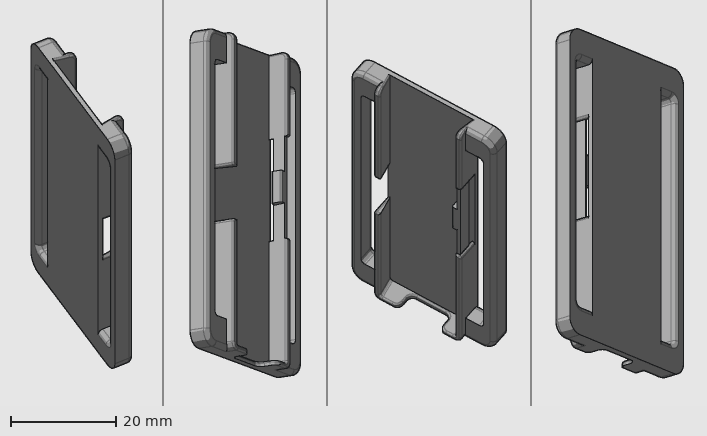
import cadquery as cq

LENGTH = 62.15
WIDTH = 33.4
PLATE_THICKNESS = 4.05
PLATE_CORNER = 3.0
BACK_EDGE_ROUND = 1.0

SLOT_OUTER_X = 14.2
SLOT_HALF_LENGTH = 25.1
SLOT_CORNER = 1.0
SLOT_FRONT_ROUND = 1.0

HOLDER_HALF_WIDTH = 10.05
HOLDER_HEIGHT = 5.65
HOLDER_CORNER = 1.5
FLOOR = 1.0
END_WALL = 1.0
POCKET_FLOOR_HALF = 9.5
POCKET_TOP_HALF = 8.65
POCKET_CORNER = 0.55
RIM_ROUND = 0.4

NOTCH_CENTER_X = -0.4
NOTCH_WIDTH = 9.45
NOTCH_BOTTOM = 1.55
NOTCH_LOWER_ROUND = 1.35
NOTCH_UPPER_ROUND = 1.5

OPENING_LOW_Z = -5.5
LEFT_OPENING_HIGH_Z = 14.5
RIGHT_OPENING_HIGH_Z = 4.9
OPENING_ROUND = 0.55

STRIP_OUTER_X = -9.6
STRIP_BOTTOM = 2.2
STRIP_TOP = 5.1
CATCH_X = -7.6
CATCH_LOW_EDGE = 2.9
CATCH_ROUND = 0.4
CATCH_LENGTH = 6.2

END_Z = LENGTH / 2
CUT_MARGIN = 0.6


def block(x_low, x_high, y_low, y_high, z_low, z_high):
    size = (x_high - x_low, y_high - y_low, z_high - z_low)
    return cq.Workplane("XY").box(*size, centered=False).translate((x_low, y_low, z_low))


def profile_along_z(points, z_low, z_high):
    """Extrude an outline of (x, y) points from z_low to z_high."""
    return cq.Workplane("XY", origin=(0, 0, z_low)).polyline(points).close().extrude(z_high - z_low)


def make_plate():
    plate = block(-WIDTH / 2, WIDTH / 2, 0, PLATE_THICKNESS, -END_Z, END_Z)
    return plate.edges("|Y").fillet(PLATE_CORNER).faces(">Y").edges().fillet(BACK_EDGE_ROUND)


def make_opening(side, high_z):
    """Cutter through one rail down to the floor, flaring out to the rail's outer face."""
    outer = side * HOLDER_HALF_WIDTH
    inner = side * POCKET_TOP_HALF / 2
    rounded = outer - side * OPENING_ROUND
    radius = side * OPENING_ROUND
    return (
        cq.Workplane("XZ", origin=(0, FLOOR, 0))
        .moveTo(inner, OPENING_LOW_Z)
        .lineTo(rounded, OPENING_LOW_Z)
        .radiusArc((outer, OPENING_LOW_Z - OPENING_ROUND), radius)
        .lineTo(outer, high_z + OPENING_ROUND)
        .radiusArc((rounded, high_z), radius)
        .lineTo(inner, high_z)
        .close()
        .extrude(-HOLDER_HEIGHT)
    )


def cut_openings(solid):
    left = make_opening(-1, LEFT_OPENING_HIGH_Z)
    right = make_opening(1, RIGHT_OPENING_HIGH_Z)
    return solid.cut(left).cut(right)


def make_holder_body():
    body = block(-HOLDER_HALF_WIDTH, HOLDER_HALF_WIDTH, 0, HOLDER_HEIGHT, -END_Z, END_Z)
    body = body.faces("<Z").edges("|Y").fillet(HOLDER_CORNER)
    return body.faces(">Z").edges(">Y").fillet(HOLDER_CORNER)


def round_outer_rim(body):
    """Round the top edges of both sides and all that runs on smoothly from them."""
    return body.faces("<X or >X").edges(">Y").fillet(RIM_ROUND)


def pocket_half_width(y):
    """Half width of the dovetail pocket at height y."""
    lean = (POCKET_FLOOR_HALF - POCKET_TOP_HALF) / (HOLDER_HEIGHT - FLOOR)
    return POCKET_FLOOR_HALF - lean * (y - FLOOR)


def make_pocket():
    """Dovetail-shaped pocket, continued past the holder at the back and at the open end."""
    top_y = HOLDER_HEIGHT + CUT_MARGIN
    top_half = pocket_half_width(top_y)
    outline = [
        (-POCKET_FLOOR_HALF, FLOOR),
        (POCKET_FLOOR_HALF, FLOOR),
        (top_half, top_y),
        (-top_half, top_y),
    ]
    pocket = profile_along_z(outline, END_WALL - END_Z, END_Z + CUT_MARGIN)
    return pocket.faces("<Z").edges("not |X").fillet(POCKET_CORNER)


def make_notch():
    """U-shaped cutter whose upper corners flare out to the rim of the end wall."""
    half = NOTCH_WIDTH / 2
    low, up = NOTCH_LOWER_ROUND, NOTCH_UPPER_ROUND
    return (
        cq.Workplane("XY", origin=(NOTCH_CENTER_X, 0, -END_Z - CUT_MARGIN))
        .moveTo(-half + low, NOTCH_BOTTOM)
        .lineTo(half - low, NOTCH_BOTTOM)
        .radiusArc((half, NOTCH_BOTTOM + low), -low)
        .lineTo(half, HOLDER_HEIGHT - up)
        .radiusArc((half + up, HOLDER_HEIGHT), up)
        .lineTo(half + up, HOLDER_HEIGHT + CUT_MARGIN)
        .lineTo(-half - up, HOLDER_HEIGHT + CUT_MARGIN)
        .lineTo(-half - up, HOLDER_HEIGHT)
        .radiusArc((-half, HOLDER_HEIGHT - up), up)
        .lineTo(-half, NOTCH_BOTTOM + low)
        .radiusArc((-half + low, NOTCH_BOTTOM), -low)
        .close()
        .extrude(END_WALL + 2 * CUT_MARGIN)
    )


def make_slot():
    """Cutter for the slot on the +X side; its inner wall is the holder's outer face."""
    slot = block(HOLDER_HALF_WIDTH, SLOT_OUTER_X, 0, HOLDER_HEIGHT, -SLOT_HALF_LENGTH, SLOT_HALF_LENGTH)
    return slot.edges("|Y and >X").fillet(SLOT_CORNER)


def make_strip():
    """Thin strip bridging the -X rail's opening, with a catch reaching into the pocket."""
    wall = [
        (STRIP_OUTER_X, STRIP_BOTTOM),
        (-pocket_half_width(STRIP_BOTTOM), STRIP_BOTTOM),
        (-pocket_half_width(STRIP_TOP), STRIP_TOP),
        (STRIP_OUTER_X, STRIP_TOP),
    ]
    catch = [
        (STRIP_OUTER_X, STRIP_BOTTOM),
        (CATCH_X, CATCH_LOW_EDGE),
        (CATCH_X, STRIP_TOP),
        (STRIP_OUTER_X, STRIP_TOP),
    ]
    middle = (OPENING_LOW_Z + LEFT_OPENING_HIGH_Z) / 2
    strip = profile_along_z(wall, OPENING_LOW_Z, LEFT_OPENING_HIGH_Z)
    hook = profile_along_z(catch, middle - CATCH_LENGTH / 2, middle + CATCH_LENGTH / 2)
    return strip.union(hook.edges("|Z and >X").fillet(CATCH_ROUND))


def make_hollow(blank):
    """Cut the pocket and notch, and round the rim along the mouth, end wall and notch."""
    hollow = blank.cut(make_pocket()).cut(make_notch())
    rim = cq.selectors.NearestToPointSelector((POCKET_TOP_HALF, HOLDER_HEIGHT, 0))
    return hollow.edges(rim).fillet(RIM_ROUND)


def cut_slots(solid):
    slot = make_slot()
    solid = solid.cut(slot).cut(slot.mirror("YZ"))
    for side in (-1, 1):
        lip = cq.selectors.NearestToPointSelector((side * SLOT_OUTER_X, 0, 0))
        solid = solid.edges(lip).fillet(SLOT_FRONT_ROUND)
    return solid


plate = make_plate()
body = make_holder_body()
hollow = make_hollow(plate.union(body))
envelope = cut_openings(plate).union(round_outer_rim(cut_openings(body)))
result = cut_slots(hollow.intersect(envelope)).union(make_strip())